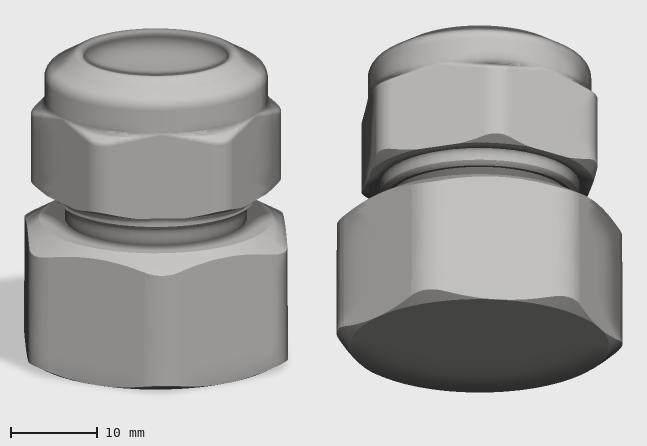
import cadquery as cq
import math

CHAMFER_SLOPE = math.tan(math.radians(30))

BODY_HEIGHT = 16.0
BODY_FLATS = 29.9
BODY_CORNER_RADIUS = 4.08
BODY_DRAFT = 0.3
BODY_TOP_RADIUS = 13.5
BODY_BOTTOM_RADIUS = BODY_FLATS / 2

NECK_RADIUS = 10.5
COLLAR_RADIUS = 11.5
COLLAR_BOTTOM = 18.05
COLLAR_CHAMFER = 0.5

NUT_BOTTOM = 20.0
NUT_FLATS = 25.8
NUT_CORNER_RADIUS = 3.0
NUT_BOTTOM_RADIUS = 13.2
NUT_EDGE_RADIUS = 0.6

CROWN_RADIUS = 12.88
CROWN_BOTTOM = 30.28
CROWN_ROOT_RADIUS = 0.55
CROWN_SHOULDER_RADIUS = 1.5
CROWN_SHOULDER_BOTTOM = 33.06
TOTAL_HEIGHT = 36.0

RECESS_FLOOR_RADIUS = 8.25
RECESS_FLOOR = 35.4
RIM_RADIUS = 0.85
RIM_CREST_RADIUS = 9.075


def point_on_arc(center, radius, degrees):
    angle = math.radians(degrees)
    return (center[0] + radius * math.cos(angle), center[1] + radius * math.sin(angle))


def revolve(profile):
    """Turn a closed (radius, height) profile around the Z axis."""
    return profile.close().revolve(360, (0, 0, 0), (0, 1, 0))


def hex_sketch(flats, corner_radius, turn):
    """Hexagon with rounded corners; a turn of 30 puts a corner on the X axis."""
    corner_circle = flats / math.cos(math.radians(30)) / 2
    return cq.Sketch().regularPolygon(corner_circle, 6, turn).vertices().fillet(corner_radius)


def make_body():
    prism = cq.Workplane("XY").placeSketch(hex_sketch(BODY_FLATS, BODY_CORNER_RADIUS, 30))
    prism = prism.extrude(BODY_HEIGHT, taper=BODY_DRAFT)
    reach = BODY_FLATS
    bottom_rise = (reach - BODY_BOTTOM_RADIUS) * CHAMFER_SLOPE
    top_drop = (reach - BODY_TOP_RADIUS) * CHAMFER_SLOPE
    envelope = revolve(
        cq.Workplane("XZ")
        .moveTo(0, 0)
        .lineTo(BODY_BOTTOM_RADIUS, 0)
        .lineTo(reach, bottom_rise)
        .lineTo(reach, BODY_HEIGHT - top_drop)
        .lineTo(BODY_TOP_RADIUS, BODY_HEIGHT)
        .lineTo(0, BODY_HEIGHT)
    )
    return prism.intersect(envelope)


def make_neck():
    return revolve(
        cq.Workplane("XZ")
        .moveTo(0, BODY_HEIGHT)
        .lineTo(NECK_RADIUS, BODY_HEIGHT)
        .lineTo(NECK_RADIUS, COLLAR_BOTTOM)
        .lineTo(COLLAR_RADIUS - COLLAR_CHAMFER, COLLAR_BOTTOM)
        .lineTo(COLLAR_RADIUS, COLLAR_BOTTOM + COLLAR_CHAMFER)
        .lineTo(COLLAR_RADIUS, NUT_BOTTOM)
        .lineTo(0, NUT_BOTTOM)
    )


def make_nut():
    prism = cq.Workplane("XY", origin=(0, 0, NUT_BOTTOM))
    prism = prism.placeSketch(hex_sketch(NUT_FLATS, NUT_CORNER_RADIUS, 0))
    prism = prism.extrude(CROWN_BOTTOM - NUT_BOTTOM)
    reach = NUT_FLATS
    root_center = (CROWN_RADIUS + CROWN_ROOT_RADIUS, CROWN_BOTTOM)
    root_middle = point_on_arc(root_center, CROWN_ROOT_RADIUS, 210)
    root_end = point_on_arc(root_center, CROWN_ROOT_RADIUS, 240)
    envelope = revolve(
        cq.Workplane("XZ")
        .moveTo(0, NUT_BOTTOM)
        .lineTo(NUT_BOTTOM_RADIUS, NUT_BOTTOM)
        .lineTo(reach, NUT_BOTTOM + (reach - NUT_BOTTOM_RADIUS) * CHAMFER_SLOPE)
        .lineTo(reach, root_end[1] - (reach - root_end[0]) * CHAMFER_SLOPE)
        .lineTo(*root_end)
        .threePointArc(root_middle, (CROWN_RADIUS, CROWN_BOTTOM))
        .lineTo(0, CROWN_BOTTOM)
    )
    nut = prism.intersect(envelope)
    middle_height = (NUT_BOTTOM + CROWN_BOTTOM) / 2
    upper_outline = nut.edges("not (%LINE or %CIRCLE)").filter(lambda edge: edge.Center().z > middle_height)
    return upper_outline.fillet(NUT_EDGE_RADIUS)


def make_crown():
    shoulder_center = (CROWN_RADIUS - CROWN_SHOULDER_RADIUS, CROWN_SHOULDER_BOTTOM)
    shoulder_middle = point_on_arc(shoulder_center, CROWN_SHOULDER_RADIUS, 30)
    shoulder_end = point_on_arc(shoulder_center, CROWN_SHOULDER_RADIUS, 60)
    rim_center = (RIM_CREST_RADIUS, TOTAL_HEIGHT - RIM_RADIUS)
    rim_start = point_on_arc(rim_center, RIM_RADIUS, 60)
    rim_middle = point_on_arc(rim_center, RIM_RADIUS, 105)
    rim_end = point_on_arc(rim_center, RIM_RADIUS, 150)
    return revolve(
        cq.Workplane("XZ")
        .moveTo(0, CROWN_BOTTOM)
        .lineTo(CROWN_RADIUS, CROWN_BOTTOM)
        .lineTo(CROWN_RADIUS, CROWN_SHOULDER_BOTTOM)
        .threePointArc(shoulder_middle, shoulder_end)
        .lineTo(*rim_start)
        .threePointArc(rim_middle, rim_end)
        .lineTo(RECESS_FLOOR_RADIUS, RECESS_FLOOR)
        .lineTo(0, RECESS_FLOOR)
    )


result = make_body().union(make_neck()).union(make_nut()).union(make_crown())